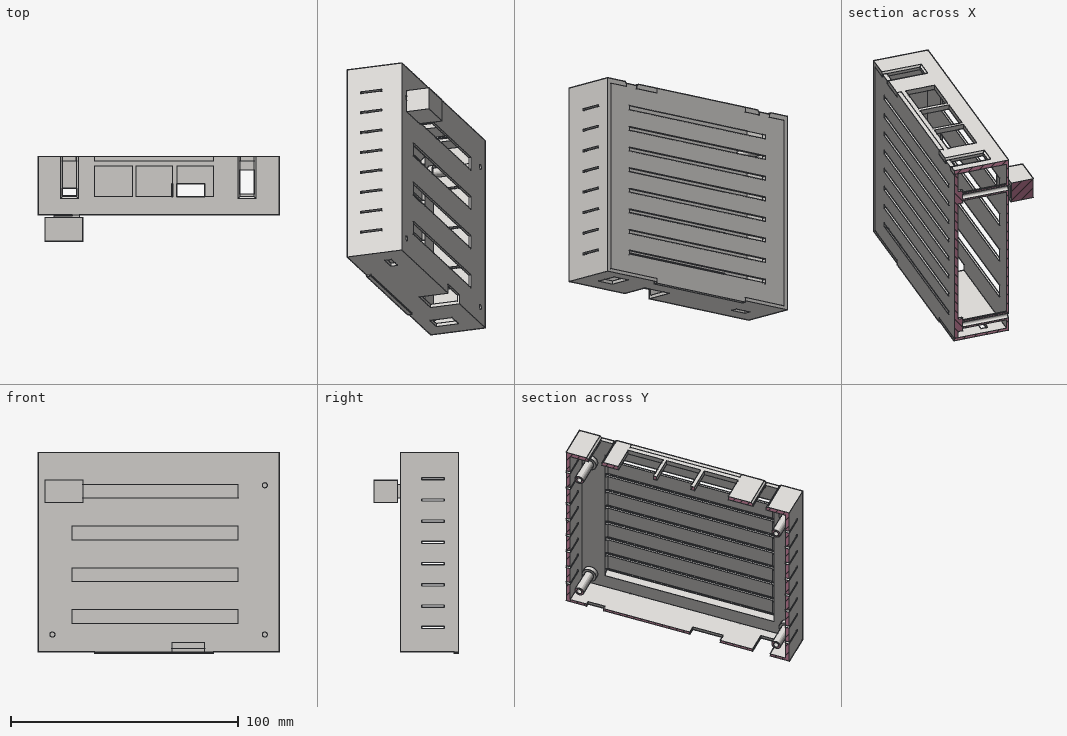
import cadquery as cq

width = 105.8
depth = 25.6
height = 87.5
side_wall = 2.0
roof = 2.2
floor = 1.5
front_wall = 1.1
chamfer_angle = 45

slot_count = 4
slot_left = 14.9
slot_length = 72.8
slot_height = 6.0
slot_pitch = 18.3
top_slot_z = 70.5

post_diameter = 4.2
screw_hole_diameter = 2.2
screw_left = 6.2
screw_right = 99.5
screw_low = 7.6
screw_high = 73.1
screw_places = [(x, z) for x in (screw_left, screw_right) for z in (screw_low, screw_high)]

window_front = 7.9
window_back = 21.5
window_spans = [(24.8, 41.4), (43.0, 59.0), (60.8, 76.8)]
row_left = window_spans[0][0]
row_right = window_spans[-1][1]

notch_lefts = (9.7, 87.6)
notch_width = 7.9
notch_front = 7.1
notch_chamfer = 0.8

left_port_depth = (8.5, 11.6)
right_port_depth = (9.2, 19.6)
right_port_span = (88.3, 96.6)
plug_left = 58.6
plug_right = 73.0
plug_back = 13.5
plug_height = 4.2

vent_count = 8
vent_pitch = 9.3
top_vent_z = 76.0
vent_heights = [top_vent_z - i * vent_pitch for i in range(vent_count)]
side_vent_front = 9.4
side_vent_length = 9.8
side_vent_height = 0.8

lid_thickness = 2.0
lid_front = depth - lid_thickness
lid_tab_drop = 0.6
lug_height = 86.8
lug_clearance = 0.3
lug_width = notch_width - 2 * notch_chamfer - lug_clearance
lug_lefts = (notch_lefts[0] + notch_chamfer, notch_lefts[1] + notch_chamfer + lug_clearance)
lid_vent_height = 1.7
lid_pocket_left = 12.9
lid_pocket_right = width - lid_pocket_left
lid_pocket_depth = 1.0
boss_diameter = 6.6
boss_length = 2.1
boss_front = lid_front - boss_length

knob_left = 3.0
knob_width = 16.6
knob_depth = 10.5
knob_height = 9.8
stem_left = 6.9
stem_right = 18.2
stem_gap = 0.3
knob_gap = 1.2


def box(x, y, z):
    """Box between the two ends given for each axis."""
    corner = (x[0], y[0], z[0])
    return cq.Workplane("XY").box(x[1] - x[0], y[1] - y[0], z[1] - z[0], centered=False).translate(corner)


def cylinder(x, z, diameter, y_start, y_end):
    """Cylinder along Y."""
    base = cq.Workplane("XZ", origin=(x, y_start, z))
    return base.circle(diameter / 2).extrude(y_start - y_end)


def notch(left):
    """Cutter for one top-wall notch: wider at the outer face, open at the back."""
    inner = box((left + notch_chamfer, left + notch_width - notch_chamfer),
                (notch_front + notch_chamfer, depth), (height - roof, height))
    flare = (
        cq.Workplane("XY", origin=(0, 0, height))
        .moveTo(left + notch_width / 2, depth)
        .rect(notch_width, 2 * (depth - notch_front))
        .extrude(-notch_chamfer, taper=chamfer_angle)
    )
    return inner.union(flare.intersect(box((0, width), (0, depth), (0, height))))


def make_housing():
    """Hollow box with its slots, screw posts, windows, notches, ports and vents."""
    body = box((0, width), (0, depth), (0, height))
    body = body.cut(box((side_wall, width - side_wall), (front_wall, depth), (floor, height - roof)))
    for i in range(slot_count):
        z = top_slot_z - i * slot_pitch
        body = body.cut(box((slot_left, slot_left + slot_length), (0, front_wall),
                            (z - slot_height / 2, z + slot_height / 2)))
    for x, z in screw_places:
        body = body.union(cylinder(x, z, post_diameter, 0, boss_front))
        body = body.cut(cylinder(x, z, screw_hole_diameter, 0, boss_front))
    for span in window_spans:
        body = body.cut(box(span, (window_front, window_back), (height - roof, height)))
    for left in notch_lefts:
        body = body.cut(notch(left))
    left_port_span = (notch_lefts[0], notch_lefts[0] + notch_width)
    body = body.cut(box(left_port_span, left_port_depth, (0, floor)))
    body = body.cut(box(right_port_span, right_port_depth, (0, floor)))
    body = body.cut(box((plug_left, plug_right), (0, plug_back), (0, floor)))
    body = body.cut(box((plug_left, plug_right), (0, front_wall), (0, plug_height)))
    for z in vent_heights:
        body = body.cut(box((0, width), (side_vent_front, side_vent_front + side_vent_length),
                            (z - side_vent_height / 2, z + side_vent_height / 2)))
    return body.cut(box((row_left, row_right), (lid_front, depth), (0, height)))


def make_lid():
    """Back plate with locating tabs, lugs, a vented pocket and screw bosses."""
    lid = box((side_wall, width - side_wall), (lid_front, depth), (floor, height - roof))
    lid = lid.union(box((row_left, row_right), (lid_front, depth), (-lid_tab_drop, height)))
    for left in lug_lefts:
        lid = lid.union(box((left, left + lug_width), (lid_front, depth), (floor, lug_height)))
    vent_bottom = vent_heights[-1] - lid_vent_height / 2
    vent_top = vent_heights[0] + lid_vent_height / 2
    pocket_low = vent_bottom - lid_thickness
    pocket_high = vent_top + lid_thickness
    pocket = (
        cq.Workplane("XZ", origin=(0, lid_front, 0))
        .moveTo(width / 2, (pocket_low + pocket_high) / 2)
        .rect(lid_pocket_right - lid_pocket_left, pocket_high - pocket_low)
        .extrude(-lid_pocket_depth, taper=chamfer_angle)
    )
    lid = lid.cut(pocket)
    for z in vent_heights:
        low = z - lid_vent_height / 2
        high = z + lid_vent_height / 2
        front_low = pocket_low if z == vent_heights[-1] else low
        front_high = pocket_high if z == vent_heights[0] else high
        vent = (
            cq.Workplane("YZ", origin=(lid_pocket_left, 0, 0))
            .polyline([(lid_front, front_low), (depth, low), (depth, high), (lid_front, front_high)])
            .close()
            .extrude(lid_pocket_right - lid_pocket_left)
        )
        lid = lid.cut(vent)
    for x, z in screw_places:
        lid = lid.union(cylinder(x, z, boss_diameter, boss_front, lid_front))
    return lid


def make_knob():
    """Grip block, the stem over the front wall and the leg inside the slot."""
    slot_low = top_slot_z - slot_height / 2
    slot_high = top_slot_z + slot_height / 2
    knob = box((knob_left, knob_left + knob_width), (-knob_gap - knob_depth, -knob_gap),
               (top_slot_z - knob_height / 2, top_slot_z + knob_height / 2))
    knob = knob.union(box((stem_left, stem_right), (-knob_gap, -stem_gap), (slot_low, slot_high)))
    return knob.union(box((slot_left, stem_right), (-stem_gap, front_wall), (slot_low, slot_high)))


housing = make_housing()
lid = make_lid()
knob = make_knob()
result = cq.Compound.makeCompound([housing.val(), lid.val(), knob.val()])